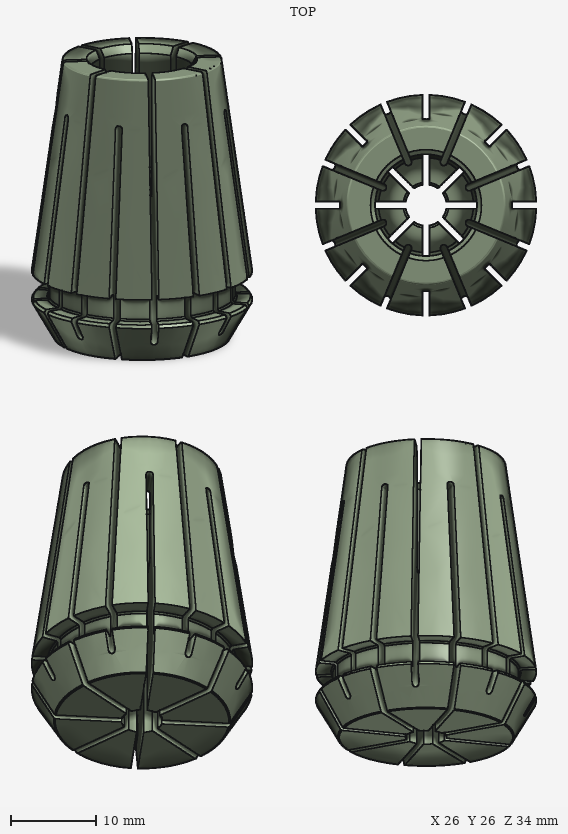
import cadquery as cq
import math

length = 34.0
max_radius = 13.0
body_taper = math.radians(8)
nose_taper = math.radians(30)
rim_fillet = 0.27

nose_height = 4.62
nose_bevel = 0.1
flange_top = 5.0
flange_chamfer_width = 0.25
groove_top = 8.13
groove_radius = 10.98
groove_corner = 0.2

mouth_radius = 6.53
mouth_depth = 1.02
bore_radius = 6.0
floor_height = 18.7
floor_bevel = 0.4
hole_radius = 2.4
hole_chamfer = 0.27

slots_per_set = 8
slot_width = 0.8
slot_pitch = 360 / slots_per_set
lower_slot_top = 28.45
upper_slot_bottom = 2.25
root_end_radius = 5.05

nose_radius = max_radius - nose_height * math.tan(nose_taper)
top_radius = max_radius - (length - groove_top) * math.tan(body_taper)


def make_body():
    """Revolve the half section of the unslotted collet."""
    half_section = [
        (hole_radius, 0),
        (nose_radius - nose_bevel, 0),
        (nose_radius + nose_bevel * math.tan(nose_taper), nose_bevel),
        (max_radius, nose_height),
        (max_radius - flange_chamfer_width, flange_top),
        (groove_radius + groove_corner, flange_top),
        (groove_radius, flange_top + groove_corner),
        (groove_radius, groove_top - groove_corner),
        (groove_radius + groove_corner, groove_top),
        (max_radius, groove_top),
        (top_radius, length),
        (mouth_radius, length),
        (bore_radius, length - mouth_depth),
        (bore_radius, floor_height + floor_bevel),
        (bore_radius - floor_bevel, floor_height),
        (hole_radius + hole_chamfer, floor_height),
        (hole_radius, floor_height - hole_chamfer),
    ]
    body = cq.Workplane("XZ").polyline(half_section).close().revolve(360, (0, 0), (0, 1))
    outer_rim = cq.selectors.RadiusNthSelector(-1)
    return body.faces(">Z").edges(outer_rim).fillet(rim_fillet)


def make_lower_slot():
    """Radial slot along +X, open at the nose, with a level round crown."""
    crown_centre = lower_slot_top - slot_width / 2
    return (
        cq.Workplane("YZ")
        .moveTo(-slot_width / 2, -0.35)
        .lineTo(-slot_width / 2, crown_centre)
        .threePointArc((0, lower_slot_top), (slot_width / 2, crown_centre))
        .lineTo(slot_width / 2, -0.35)
        .close()
        .extrude(max_radius + 0.35)
    )


def make_upper_slot():
    """Radial slot along +X, open at the top, with a round root that climbs towards the axis."""
    root_exit_radius = nose_radius + upper_slot_bottom * math.tan(nose_taper)
    run = root_exit_radius - root_end_radius
    rise = floor_height - upper_slot_bottom
    root_length = math.hypot(run, rise)
    half_width = slot_width / 2

    outward = cq.Vector(run, 0, -rise).normalized()
    away_from_root = cq.Vector(rise, 0, run).normalized()
    exit_point = cq.Vector(root_exit_radius, 0, upper_slot_bottom)
    start = exit_point - outward * (2 * root_length)

    section_plane = cq.Plane(origin=start, xDir=away_from_root, normal=outward)
    return (
        cq.Workplane(section_plane)
        .moveTo(length, -half_width)
        .lineTo(half_width, -half_width)
        .threePointArc((0, 0), (half_width, half_width))
        .lineTo(length, half_width)
        .close()
        .extrude(3 * root_length)
    )


def cut_slot_set(body, slot, first_angle):
    """Cut equally spaced copies of a slot around the Z axis."""
    for index in range(slots_per_set):
        body = body.cut(slot.rotate((0, 0, 0), (0, 0, 1), first_angle + index * slot_pitch))
    return body


result = make_body()
result = cut_slot_set(result, make_lower_slot(), 0)
result = cut_slot_set(result, make_upper_slot(), slot_pitch / 2)